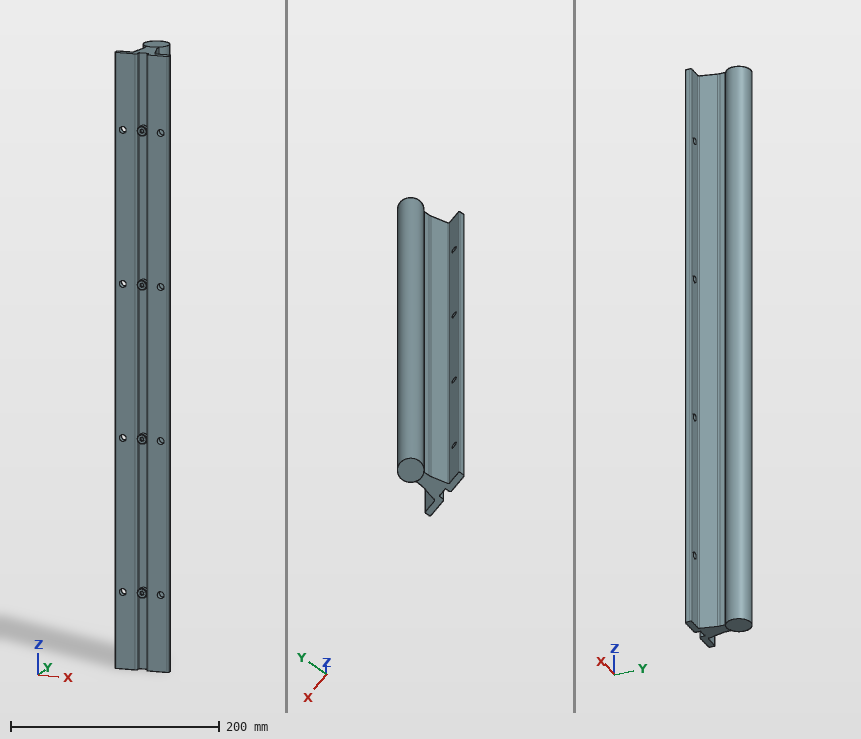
import cadquery as cq

length = 609.5
base_width = 54.0
height = 57.0

shaft_diameter = 25.5
shaft_radius = shaft_diameter / 2
shaft_center_y = height - shaft_radius

flange_thickness = 7.0
flange_edge_radius = 1.0
stem_root_width = 22.0
stem_root_radius = 1.0
stem_neck_width = 13.0
stem_neck_height = 7.0
stem_blend_radius = 9.0
cradle_depth = 1.0
stem_top_y = shaft_center_y - shaft_radius + cradle_depth
taper_top_y = stem_top_y - stem_neck_height
channel_width = 10.0
channel_depth = 6.0
channel_mouth_radius = 2.0

row_count = 4
row_pitch = length / row_count
row_heights = [(row + 0.5) * row_pitch for row in range(row_count)]
mount_hole_diameter = 7.0
mount_hole_spacing = 38.5

head_diameter = channel_width
head_height = 5.5
head_chamfer = 0.5
head_end_y = channel_depth - head_height
shank_diameter = 6.0
screw_tip_y = shaft_center_y
socket_width = 3.5
socket_depth = 3.0


def y_cylinder(diameter, x, z, y_start, y_end):
    """Cylinder with its axis along Y, from y_start to y_end."""
    start = cq.Vector(x, y_start, z)
    axis = cq.Vector(0, 1, 0)
    return cq.Workplane(cq.Solid.makeCylinder(diameter / 2, y_end - y_start, start, axis))


def make_shaft():
    """Plain round shaft, before its screw holes."""
    return cq.Workplane("XY").center(0, shaft_center_y).circle(shaft_radius).extrude(length)


def fillet_section_corners(body, radius, half_width, y):
    """Round the two mirrored lengthwise edges at x = +-half_width and the given y."""
    for x in (-half_width, half_width):
        body = body.edges(cq.selectors.NearestToPointSelector((x, y, length / 2))).fillet(radius)
    return body


def make_support():
    """T-shaped support rail with a screw channel underneath, before its shank holes."""
    half_section = [
        (channel_width / 2, channel_depth),
        (channel_width / 2, 0),
        (base_width / 2, 0),
        (base_width / 2, flange_thickness),
        (stem_root_width / 2, flange_thickness),
        (stem_neck_width / 2, taper_top_y),
        (stem_neck_width / 2, stem_top_y),
    ]
    left_half = [(-x, y) for x, y in reversed(half_section)]
    body = cq.Workplane("XY").polyline(half_section + left_half).close().extrude(length)
    body = fillet_section_corners(body, channel_mouth_radius, channel_width / 2, 0)
    body = fillet_section_corners(body, flange_edge_radius, base_width / 2, 0)
    body = fillet_section_corners(body, flange_edge_radius, base_width / 2, flange_thickness)
    body = fillet_section_corners(body, stem_root_radius, stem_root_width / 2, flange_thickness)
    body = fillet_section_corners(body, stem_blend_radius, stem_neck_width / 2, taper_top_y)

    body = body.cut(make_shaft())

    for z in row_heights:
        for x in (-mount_hole_spacing / 2, mount_hole_spacing / 2):
            body = body.cut(y_cylinder(mount_hole_diameter, x, z, 0, flange_thickness))
    return body


def make_screw(z):
    """Socket head cap screw at height z, pointing along +Y."""
    head = y_cylinder(head_diameter, 0, z, head_end_y, channel_depth).faces("<Y").chamfer(head_chamfer)
    shank = y_cylinder(shank_diameter, 0, z, channel_depth, screw_tip_y)
    socket = (
        cq.Workplane("XZ", origin=(0, head_end_y, z))
        .polygon(6, socket_width, circumscribed=True)
        .extrude(-socket_depth)
    )
    return head.union(shank).cut(socket)


def drill_for_screws(body):
    """Cut the matching hole for every screw shank out of a body."""
    for z in row_heights:
        body = body.cut(y_cylinder(shank_diameter, 0, z, channel_depth, screw_tip_y))
    return body


shaft = drill_for_screws(make_shaft())
support = drill_for_screws(make_support())
screws = [make_screw(z) for z in row_heights]

result = cq.Compound.makeCompound([shaft.val(), support.val(), *[screw.val() for screw in screws]])